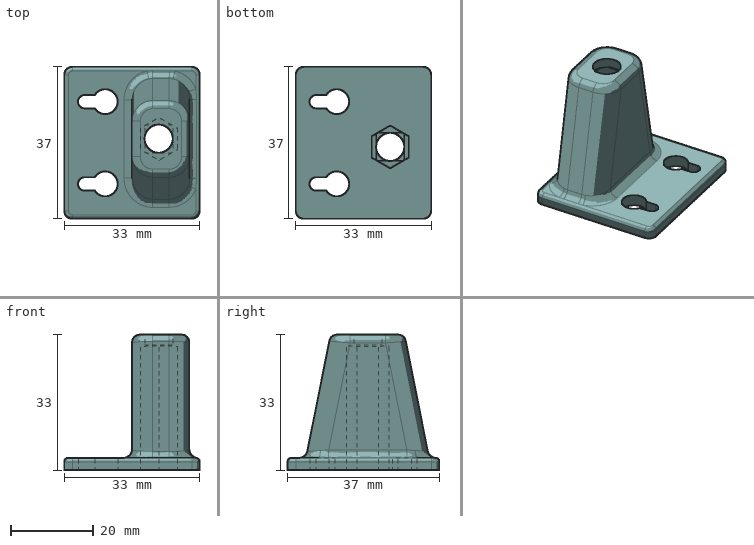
import cadquery as cq
import math

PLATE_LENGTH_X = 33.0
PLATE_WIDTH_Y = 37.0
PLATE_THICKNESS = 3.0
PLATE_CORNER_RADIUS = 2.0
PLATE_EDGE_RADIUS = 1.0

TOWER_CENTRE_X = 7.0
TOWER_CENTRE_Y = 1.0
TOWER_LENGTH_X = 14.0
TOWER_BASE_WIDTH_Y = 30.0
TOWER_TOP_WIDTH_Y = 18.0
TOWER_HEIGHT = 30.0
TOWER_CORNER_RADIUS = 5.0
TOWER_TOP_RADIUS = 2.0
FOOT_RADIUS = 2.0
SELECT_MARGIN = 0.1
TOTAL_HEIGHT = PLATE_THICKNESS + TOWER_HEIGHT

BOLT_X = 6.5
BOLT_Y = 1.0
BOLT_DIAMETER = 6.8
BOLT_WALL_THICKNESS = 2.5
HEX_ACROSS_FLATS = 9.0
HEX_SIDES = 6
HEX_TURN = 180 / HEX_SIDES
BRIDGE_STEP = 0.2

KEYHOLE_X = -6.5
KEYHOLE_SPACING_Y = 20.0
KEYHOLE_DIAMETER = 6.0
KEYHOLE_SLOT_WIDTH = 3.2
KEYHOLE_SLOT_LENGTH = 5.0


def make_plate():
    """Flat plate with rounded corners and a rounded upper edge."""
    plate = cq.Workplane("XY").rect(PLATE_LENGTH_X, PLATE_WIDTH_Y).extrude(PLATE_THICKNESS)
    plate = plate.edges("|Z").fillet(PLATE_CORNER_RADIUS)
    return plate.faces(">Z").edges().fillet(PLATE_EDGE_RADIUS)


def make_tower():
    """Trapezoidal prism with its slanted corners and its top edge rounded."""
    half_base = TOWER_BASE_WIDTH_Y / 2
    half_top = TOWER_TOP_WIDTH_Y / 2
    tower = (
        cq.Workplane("YZ", origin=(TOWER_CENTRE_X, TOWER_CENTRE_Y, PLATE_THICKNESS))
        .polyline([(-half_base, 0), (half_base, 0), (half_top, TOWER_HEIGHT), (-half_top, TOWER_HEIGHT)])
        .close()
        .extrude(TOWER_LENGTH_X / 2, both=True)
    )
    slanted_corners = "not (|X or |Y)"
    tower = tower.edges(slanted_corners).fillet(TOWER_CORNER_RADIUS)
    return tower.faces(">Z").edges().fillet(TOWER_TOP_RADIUS)


def join_with_foot_fillet(plate, tower):
    """Join tower and plate, rounding the edges of the tower's foot."""
    foot_corner_x = TOWER_LENGTH_X / 2 + SELECT_MARGIN
    foot_corner_y = TOWER_BASE_WIDTH_Y / 2 + SELECT_MARGIN
    foot_edges = cq.selectors.BoxSelector(
        (TOWER_CENTRE_X - foot_corner_x, TOWER_CENTRE_Y - foot_corner_y, PLATE_THICKNESS - SELECT_MARGIN),
        (TOWER_CENTRE_X + foot_corner_x, TOWER_CENTRE_Y + foot_corner_y, PLATE_THICKNESS + SELECT_MARGIN),
        boundingbox=True,
    )
    return plate.union(tower).edges(foot_edges).fillet(FOOT_RADIUS)


def make_bolt_passage():
    """Hexagonal shaft from below, narrowing in two bridging steps to the round bolt hole.

    Above the shaft's ceiling a strip as wide as the hole crosses the hexagon, then a square
    encloses the hole, so each step rests on straight printed bridges.
    """
    axis = cq.Workplane("XY", origin=(BOLT_X, BOLT_Y, 0))
    hex_across_corners = HEX_ACROSS_FLATS / math.cos(math.pi / HEX_SIDES)
    square_top = TOTAL_HEIGHT - BOLT_WALL_THICKNESS
    strip_top = square_top - BRIDGE_STEP
    shaft_top = strip_top - BRIDGE_STEP

    def hexagon(height):
        return axis.transformed(rotate=(0, 0, HEX_TURN)).polygon(HEX_SIDES, hex_across_corners).extrude(height)

    hole = axis.circle(BOLT_DIAMETER / 2).extrude(TOTAL_HEIGHT)
    square = axis.rect(BOLT_DIAMETER, BOLT_DIAMETER).extrude(square_top).intersect(hexagon(square_top))
    strip = axis.rect(BOLT_DIAMETER, hex_across_corners).extrude(strip_top).intersect(hexagon(strip_top))
    return hexagon(shaft_top).union(strip).union(square).union(hole)


def make_keyhole(centre_y):
    """Keyhole cutter: a round opening with a narrow slot towards -X."""
    plane = cq.Workplane("XY", origin=(KEYHOLE_X, centre_y, 0))
    opening = plane.circle(KEYHOLE_DIAMETER / 2).extrude(PLATE_THICKNESS)
    slot = (
        plane.center(-KEYHOLE_SLOT_LENGTH / 2, 0)
        .slot2D(KEYHOLE_SLOT_LENGTH + KEYHOLE_SLOT_WIDTH, KEYHOLE_SLOT_WIDTH)
        .extrude(PLATE_THICKNESS)
    )
    return opening.union(slot)


result = join_with_foot_fillet(make_plate(), make_tower())
result = result.cut(make_bolt_passage())
for side in (-1, 1):
    result = result.cut(make_keyhole(side * KEYHOLE_SPACING_Y / 2))